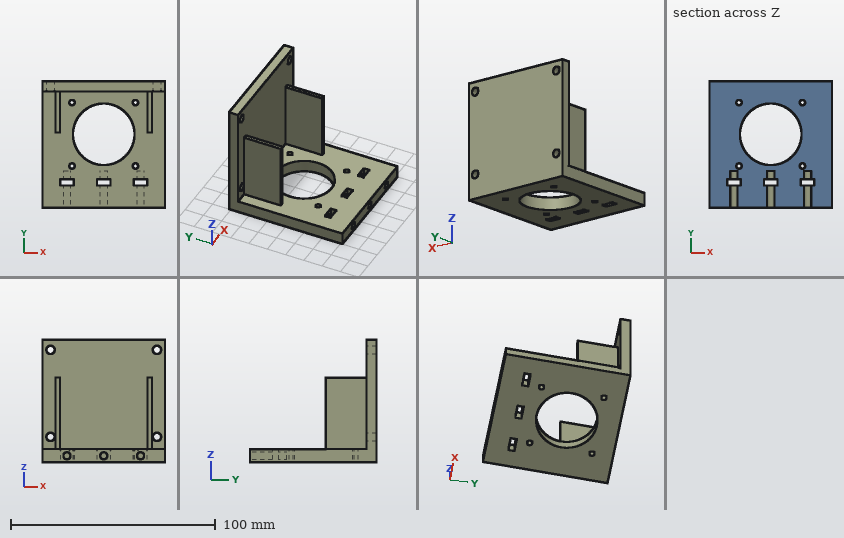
import cadquery as cq

width = 60.0
depth = 62.0
height = 60.0
base_thickness = 6.5
wall_thickness = 5.0
wall_face_y = depth - wall_thickness

rib_thickness = 2.0
rib_length = 20.0
rib_height = 35.0
rib_spacing = 45.0

motor_y = 36.0
motor_bore_diameter = 30.0
motor_screw_diameter = 2.53
motor_screw_spacing = 31.0

wall_hole_diameter = 4.0
wall_hole_spacing = 52.0
wall_hole_low_z = 12.5
wall_hole_top_margin = 5.0
wall_hole_high_z = height - wall_hole_top_margin

edge_hole_diameter = 3.5
edge_hole_pitch = 18.0
edge_hole_depth = 18.0
nut_slot_width = 6.5
nut_slot_length = 3.0
nut_slot_front_y = 11.0


def block(size_x, y_start, size_y, z_start, size_z, x_center=0.0):
    """Box centred on x_center, growing toward +Y and +Z."""
    corner = (x_center - size_x / 2, y_start, z_start)
    return cq.Workplane("XY").box(size_x, size_y, size_z, centered=False).translate(corner)


def vertical_hole(x, y, diameter):
    """Cutter through the base plate."""
    return cq.Workplane("XY").center(x, y).circle(diameter / 2).extrude(base_thickness)


def horizontal_hole(x, z, diameter, y_start, length):
    """Cutter running toward +Y from y_start."""
    start = cq.Vector(x, y_start, z)
    return cq.Workplane(cq.Solid.makeCylinder(diameter / 2, length, start, cq.Vector(0, 1, 0)))


def make_body():
    body = block(width, 0, depth, 0, base_thickness)
    body = body.union(block(width, wall_face_y, wall_thickness, 0, height))
    for side in (-1, 1):
        rib = block(
            rib_thickness,
            wall_face_y - rib_length,
            rib_length,
            base_thickness,
            rib_height,
            side * rib_spacing / 2,
        )
        body = body.union(rib)
    return body


def cut_motor_mount(body):
    body = body.cut(vertical_hole(0, motor_y, motor_bore_diameter))
    offset = motor_screw_spacing / 2
    for side_x in (-1, 1):
        for side_y in (-1, 1):
            screw_hole = vertical_hole(side_x * offset, motor_y + side_y * offset, motor_screw_diameter)
            body = body.cut(screw_hole)
    return body


def cut_wall_holes(body):
    for side in (-1, 1):
        for z in (wall_hole_low_z, wall_hole_high_z):
            x = side * wall_hole_spacing / 2
            body = body.cut(horizontal_hole(x, z, wall_hole_diameter, wall_face_y, wall_thickness))
    return body


def cut_edge_fasteners(body):
    for position in (-1, 0, 1):
        x = position * edge_hole_pitch
        screw_hole = horizontal_hole(x, base_thickness / 2, edge_hole_diameter, 0, edge_hole_depth)
        nut_slot = block(nut_slot_width, nut_slot_front_y, nut_slot_length, 0, base_thickness, x)
        body = body.cut(screw_hole).cut(nut_slot)
    return body


result = make_body()
result = cut_motor_mount(result)
result = cut_wall_holes(result)
result = cut_edge_fasteners(result)